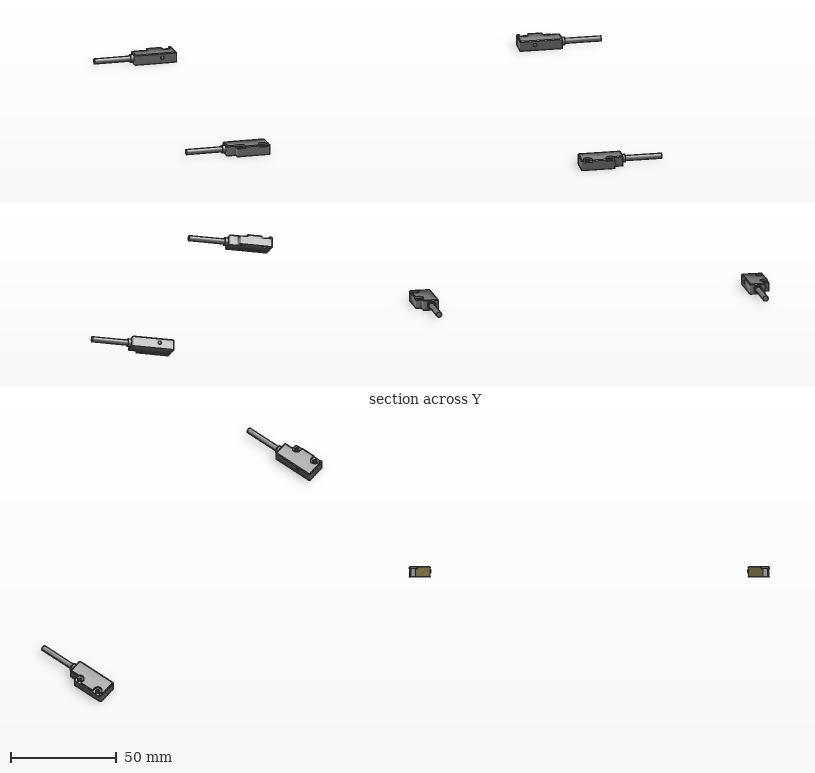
import cadquery as cq
import math

span = 170.2

width = 10.0
length = 20.5
height = 5.0
notch_width = 2.7
notch_length = 4.5
rear_radius = 0.9
outer_radius = 0.5
inner_radius = 0.5
top_chamfer = 0.43

hole_diameter = 2.2
hole_inset = 1.9
rear_hole_inset = 3.2
hole_pitch = 10.9
recess_radius = 2.0
recess_depth = 1.0

cable_diameter = 2.5
sleeve_diameter = 3.7
sleeve_length = 1.5
total_length = 39.5

lens_diameter = 1.7
lens_protrusion = 0.3
lens_rear_inset = 7.1
lens_height = 2.7

front_y = -length
notch_y = front_y + notch_length
cable_x = (notch_width + width) / 2
cable_z = height / 2


def make_housing():
    """Notched block with rounded upright edges and a chamfered top."""
    outline = [
        (0, 0),
        (width, 0),
        (width, front_y),
        (notch_width, front_y),
        (notch_width, notch_y),
        (0, notch_y),
    ]
    block = cq.Workplane("XY").polyline(outline).close().extrude(height)
    corner_radii = [rear_radius] + [outer_radius] * 3 + [inner_radius, outer_radius]
    for (x, y), radius in zip(outline, corner_radii):
        upright = cq.selectors.NearestToPointSelector((x, y, height / 2))
        block = block.edges(upright).fillet(radius)
    return block.faces(">Z").edges().chamfer(top_chamfer)


def cut_mounting_holes(housing):
    """Two through holes, each with a U-shaped recess in the top."""
    for y in (-rear_hole_inset, -rear_hole_inset - hole_pitch):
        hole = cq.Workplane("XY").center(hole_inset, y).circle(hole_diameter / 2).extrude(height)
        recess = (
            cq.Workplane("XY", origin=(0, y, height - recess_depth))
            .moveTo(0, -recess_radius)
            .lineTo(hole_inset, -recess_radius)
            .threePointArc((hole_inset + recess_radius, 0), (hole_inset, recess_radius))
            .lineTo(0, recess_radius)
            .close()
            .extrude(recess_depth)
        )
        housing = housing.cut(hole).cut(recess)
    return housing


def make_cable():
    """Round cable leaving the front face through a short sleeve."""
    start = cq.Workplane("XZ", origin=(cable_x, front_y, cable_z))
    sleeve = start.circle(sleeve_diameter / 2).extrude(sleeve_length)
    return sleeve.union(start.circle(cable_diameter / 2).extrude(total_length - length))


def make_lens():
    """Shallow dome standing out of the inner side."""
    lens_radius = lens_diameter / 2
    sphere_radius = (lens_radius**2 + lens_protrusion**2) / (2 * lens_protrusion)
    middle_x = lens_protrusion / 2
    middle_y = math.sqrt(sphere_radius**2 - (sphere_radius - middle_x) ** 2)
    middle_point = (lens_protrusion - middle_x, middle_y)
    return (
        cq.Workplane("XY", origin=(width, -lens_rear_inset, lens_height))
        .lineTo(0, lens_radius)
        .threePointArc(middle_point, (lens_protrusion, 0))
        .close()
        .revolve(360, (0, 0), (1, 0))
    )


def make_sensor():
    """One sensor head with its cable, as a single solid."""
    housing = cut_mounting_holes(make_housing())
    return housing.union(make_cable()).union(make_lens())


emitter = make_sensor()
receiver = make_sensor().mirror("YZ").translate((span, 0, 0))

result = cq.Compound.makeCompound([emitter.val(), receiver.val()])